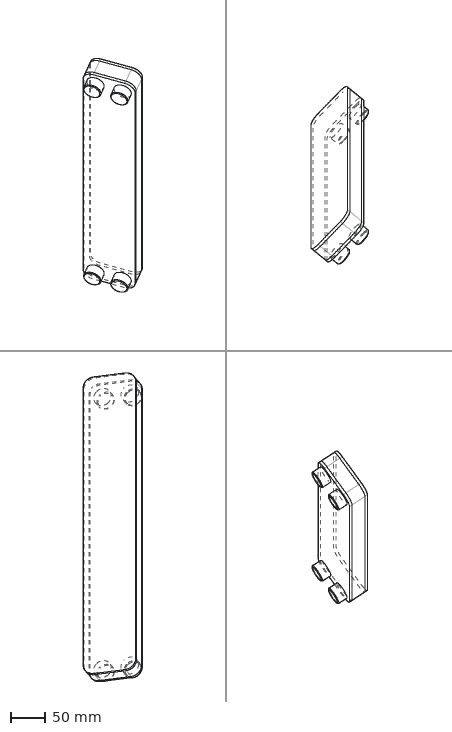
import cadquery as cq


WIDTH = 81.0
HEIGHT = 471.0
CORNER_RADIUS = 16.0

TOTAL_DEPTH = 48.0
PORT_LENGTH = 16.0
COVER_THICKNESS = 4.5
PACK_THICKNESS = TOTAL_DEPTH - PORT_LENGTH - 2 * COVER_THICKNESS

PORT_DIAMETER = 26.9
PORT_CHAMFER = 1.3
PORT_EDGE_INSET = 19.5
PORT_X = WIDTH / 2 - PORT_EDGE_INSET
PORT_Z = HEIGHT / 2 - PORT_EDGE_INSET

FRONT_FACE = 0.0
PACK_FRONT = FRONT_FACE + COVER_THICKNESS
PACK_BACK = PACK_FRONT + PACK_THICKNESS


def make_layer(front_y, thickness):
    """Rounded rectangular slab reaching from front_y towards +Y."""
    return (
        cq.Workplane("XZ", origin=(0, front_y, 0))
        .rect(WIDTH, HEIGHT)
        .extrude(-thickness)
        .edges("|Y")
        .fillet(CORNER_RADIUS)
    )


def make_port(x, z):
    """Round port on the front cover, chamfered at its free end."""
    return (
        cq.Workplane("XZ", origin=(x, FRONT_FACE, z))
        .circle(PORT_DIAMETER / 2)
        .extrude(PORT_LENGTH)
        .faces("<Y")
        .chamfer(PORT_CHAMFER)
    )


front_cover = make_layer(FRONT_FACE, COVER_THICKNESS)
plate_pack = make_layer(PACK_FRONT, PACK_THICKNESS)
back_cover = make_layer(PACK_BACK, COVER_THICKNESS)

ports = []
for x in (-PORT_X, PORT_X):
    for z in (-PORT_Z, PORT_Z):
        ports.append(make_port(x, z))

result = cq.Compound.makeCompound(
    [
        front_cover.val(),
        plate_pack.val(),
        back_cover.val(),
        *[port.val() for port in ports],
    ]
)